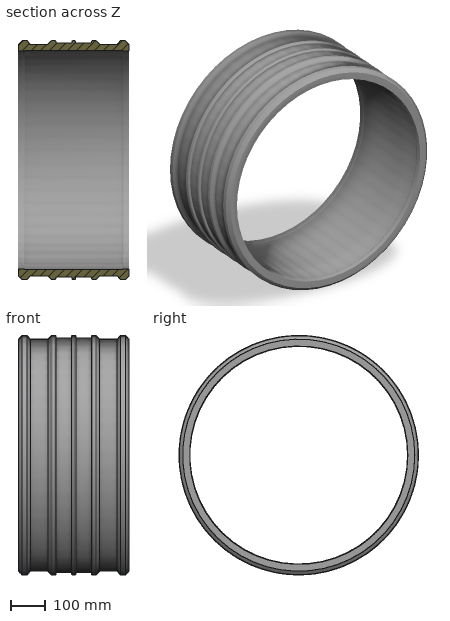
import cadquery as cq

length = 320.0
rim_radius = 693 / 2
neck_radius = 671.5 / 2
center_radius = 679 / 2
bore_radius = 630.0 / 2

half_length = length / 2
bevel = rim_radius - neck_radius
end_band_inner_run = 9.0
end_band_width = 14.5
mid_rib_width = 12.5
side_rib_inner_x = 51.0
side_rib_outer_x = 64.5
rib_edge_radius = 3.5

land_width = 16.0
relief_depth = 1.5
relief_taper = 3.5


def revolve_about_x(points):
    """Solid of revolution from (x, radius) points."""
    return cq.Workplane("XY").polyline(points).close().revolve(360, (0, 0, 0), (1, 0, 0))


def mirrored(half_points):
    """Points for X > 0 followed by their mirror images for X < 0."""
    return half_points + [(-x, radius) for x, radius in reversed(half_points)]


def outer_body():
    band_outer_x = half_length - bevel
    band_inner_x = band_outer_x - end_band_width
    half_profile = [
        (half_length, 0),
        (half_length, neck_radius),
        (band_outer_x, rim_radius),
        (band_inner_x, rim_radius),
        (band_inner_x - end_band_inner_run, neck_radius),
        (side_rib_outer_x + bevel, neck_radius),
        (side_rib_outer_x, rim_radius),
        (side_rib_inner_x, rim_radius),
        (side_rib_inner_x, center_radius),
        (mid_rib_width / 2, center_radius),
        (mid_rib_width / 2, rim_radius),
    ]
    return revolve_about_x(mirrored(half_profile))


def round_rib_edges(body):
    """Round the crest edges of the middle rib and both side ribs."""
    reach = side_rib_outer_x + bevel / 2
    selection_box = cq.selectors.BoxSelector(
        (-reach, -2 * rim_radius, -2 * rim_radius),
        (reach, 2 * rim_radius, 2 * rim_radius),
    )
    crest_edges = body.edges(selection_box).edges("%CIRCLE").filter(
        lambda edge: edge.radius() > (rim_radius + center_radius) / 2
    )
    return crest_edges.fillet(rib_edge_radius)


def bore():
    land_inner_x = half_length - land_width
    relief_radius = bore_radius + relief_depth
    half_profile = [
        (half_length, 0),
        (half_length, bore_radius),
        (land_inner_x, bore_radius),
        (land_inner_x - relief_taper, relief_radius),
    ]
    return revolve_about_x(mirrored(half_profile))


result = round_rib_edges(outer_body()).cut(bore())